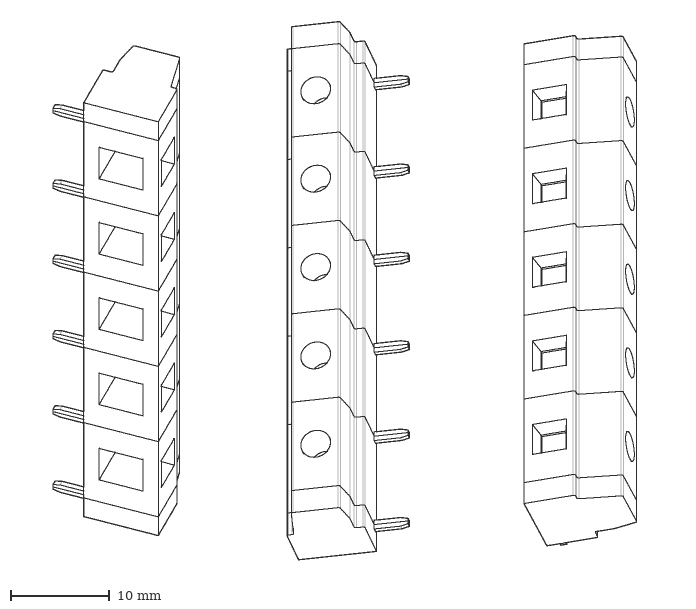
import cadquery as cq

LENGTH = 55.9
POLES = 5
END_SHARE = 0.25
PITCH = LENGTH / (POLES + 2 * END_SHARE)
END_THICKNESS = PITCH * END_SHARE

PIN_LENGTH = 3.5
BASE_WIDTH = 8.1
BASE_HEIGHT = 5.4
HEIGHT = 10.0
LEFT_STEP = 1.05
RIGHT_STEP = 0.7
RIDGE_BEND_Y = 7.5
RIDGE_LEFT_LEAN = 0.5
RIDGE_RIGHT_LEAN = 0.8
EDGE_RADIUS = 0.2
LEFT_X = PIN_LENGTH
RIGHT_X = LEFT_X + BASE_WIDTH
CENTER_X = LEFT_X + BASE_WIDTH / 2

POCKET_WIDTH = 4.75
POCKET_LENGTH = 4.25
POCKET_DEPTH = BASE_HEIGHT
SCREW_HOLE_DIAMETER = 3.1
WINDOW_SIZE = 2.6
WINDOW_MOUTH_SIZE = 3.65
WINDOW_LIP = 0.3
WINDOW_Y = BASE_HEIGHT / 2

PIN_WIDTH = 1.0
PIN_THICKNESS = 0.6
PIN_BOTTOM_Y = 0.45
TIP_LENGTH = 0.8
TIP_WIDTH = 0.6


def housing_slice(z_bottom, thickness):
    """A slice of the housing profile, extruded up from z_bottom."""
    left_flank_x = LEFT_X + LEFT_STEP
    right_flank_x = RIGHT_X - RIGHT_STEP
    outline = [
        (LEFT_X, 0),
        (RIGHT_X, 0),
        (RIGHT_X, BASE_HEIGHT),
        (right_flank_x, BASE_HEIGHT),
        (right_flank_x - RIDGE_RIGHT_LEAN, HEIGHT),
        (left_flank_x + RIDGE_LEFT_LEAN, HEIGHT),
        (left_flank_x, RIDGE_BEND_Y),
        (left_flank_x, BASE_HEIGHT),
        (LEFT_X, BASE_HEIGHT),
    ]
    prism = cq.Workplane("XY", origin=(0, 0, z_bottom)).polyline(outline).close().extrude(thickness)
    top_edges = prism.faces(">Y").edges("|Z")
    ledge_edges = prism.faces("|Y").faces("<<Y[1]").edges("|Z")
    return prism.newObject(top_edges.vals() + ledge_edges.vals()).fillet(EDGE_RADIUS)


def half_pin(joint_z, side):
    """Half of a pin with a tapered tip, above (side=1) or below (side=-1) the joint."""
    outline = [
        (LEFT_X, joint_z),
        (0, joint_z),
        (0, joint_z + side * TIP_WIDTH / 2),
        (TIP_LENGTH, joint_z + side * PIN_WIDTH / 2),
        (LEFT_X, joint_z + side * PIN_WIDTH / 2),
    ]
    plane = cq.Workplane("XZ", origin=(0, PIN_BOTTOM_Y, 0))
    return plane.polyline(outline).close().extrude(-PIN_THICKNESS)


def wire_window(center_z):
    """Square window through the +X wall: a straight lip at the pocket, then a flare outward."""
    pocket_wall_x = CENTER_X + POCKET_WIDTH / 2
    flare_x = pocket_wall_x + WINDOW_LIP
    lip = (
        cq.Workplane("YZ", origin=(CENTER_X, WINDOW_Y, center_z))
        .rect(WINDOW_SIZE, WINDOW_SIZE)
        .extrude(flare_x - CENTER_X)
    )
    flare = (
        cq.Workplane("YZ", origin=(flare_x, WINDOW_Y, center_z))
        .rect(WINDOW_SIZE, WINDOW_SIZE)
        .workplane(offset=RIGHT_X - flare_x)
        .rect(WINDOW_MOUTH_SIZE, WINDOW_MOUTH_SIZE)
        .loft(ruled=True)
    )
    return lip.union(flare)


def pole_openings(center_z):
    """Square pocket, screw hole behind it, and wire window in the +X wall."""
    pocket = cq.Workplane("XY").box(
        POCKET_WIDTH, POCKET_DEPTH, POCKET_LENGTH, centered=(True, False, True)
    ).translate((CENTER_X, 0, center_z))
    screw_hole = (
        cq.Workplane("XZ", origin=(CENTER_X, 0, center_z))
        .circle(SCREW_HOLE_DIAMETER / 2)
        .extrude(-HEIGHT)
    )
    return pocket.union(screw_hole).union(wire_window(center_z))


def pole_module(z_bottom):
    """One pole: a housing slice with its openings and half a pin at either joint."""
    z_top = z_bottom + PITCH
    body = housing_slice(z_bottom, PITCH).cut(pole_openings(z_bottom + PITCH / 2))
    return body.union(half_pin(z_bottom, 1)).union(half_pin(z_top, -1))


def end_plate(z_bottom, joint_z, side):
    """A plain end slice carrying the outer half of the pin at its joint."""
    return housing_slice(z_bottom, END_THICKNESS).union(half_pin(joint_z, side))


first_joint_z = END_THICKNESS
last_joint_z = LENGTH - END_THICKNESS

bottom_plate = end_plate(0, first_joint_z, -1)
top_plate = end_plate(last_joint_z, last_joint_z, 1)
modules = [pole_module(first_joint_z + index * PITCH) for index in range(POLES)]

result = cq.Compound.makeCompound(
    [bottom_plate.val(), top_plate.val(), *[module.val() for module in modules]]
)